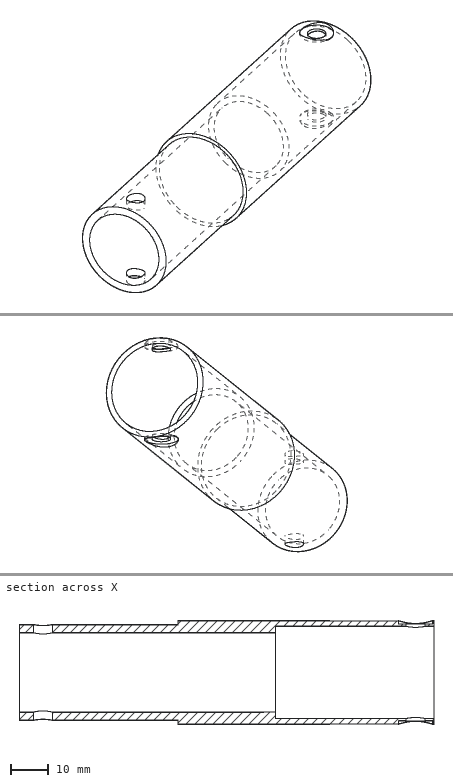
import cadquery as cq

length = 110.0
outer_diameter = 27.5
spigot_diameter = 25.4
bore_diameter = 21.0
socket_diameter = 24.4
spigot_length = 42.0
socket_depth = spigot_length

hole_diameter = 5.0
spot_face_diameter = 9.0
spot_face_height = 12.9
spigot_hole_inset = 6.3
sleeve_hole_inset = 5.0

front_y = -length / 2
back_y = length / 2
sleeve_length = length - spigot_length


def cylinder_y(diameter, start_y, depth):
    """Solid cylinder on the Y axis, running toward +Y from start_y."""
    return cq.Workplane("XZ", origin=(0, start_y, 0)).circle(diameter / 2).extrude(-depth)


def cross_hole(y):
    """Cutter along Z that passes through both tube walls."""
    return (
        cq.Workplane("XY", origin=(0, y, 0))
        .circle(hole_diameter / 2)
        .extrude(outer_diameter, both=True)
    )


def spot_face(y, side):
    """Flat-bottomed recess cutter on the top (side=1) or bottom (side=-1) wall."""
    return (
        cq.Workplane("XY", origin=(0, y, side * spot_face_height))
        .circle(spot_face_diameter / 2)
        .extrude(side * outer_diameter)
    )


spigot = cylinder_y(spigot_diameter, front_y, spigot_length)
sleeve = cylinder_y(outer_diameter, front_y + spigot_length, sleeve_length)
bore = cylinder_y(bore_diameter, front_y, length)
socket = cylinder_y(socket_diameter, back_y - socket_depth, socket_depth)
result = spigot.union(sleeve).cut(bore).cut(socket)

sleeve_hole_y = back_y - sleeve_hole_inset
result = result.cut(cross_hole(front_y + spigot_hole_inset))
result = result.cut(cross_hole(sleeve_hole_y))
for side in (1, -1):
    result = result.cut(spot_face(sleeve_hole_y, side))